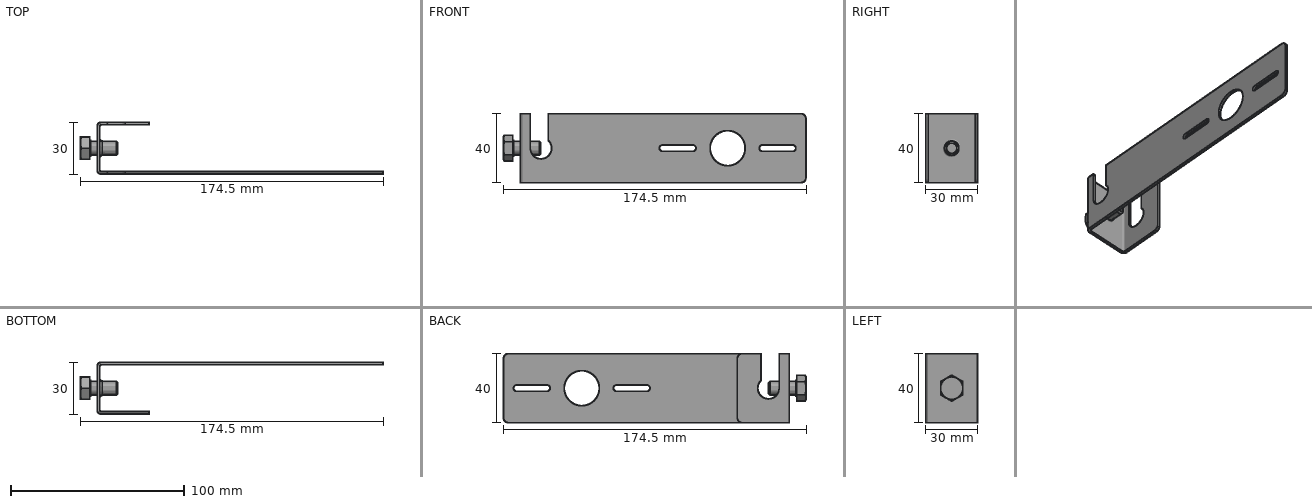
import cadquery as cq
import math

TOTAL_LENGTH = 174.5
BRACKET_WIDTH = 30.0
BRACKET_HEIGHT = 40.0
HEAD_STANDOFF = 9.6

SHEET = 1.5
BEND_OUTER_RADIUS = 2.5
BEND_INNER_RADIUS = BEND_OUTER_RADIUS - SHEET
LONG_LEG = TOTAL_LENGTH - HEAD_STANDOFF
SHORT_LEG = 30.0
CORNER_RADIUS = 3.0
HALF_WIDTH = BRACKET_WIDTH / 2

HOOK_START = 6.0
HOOK_NECK = 10.3
HOOK_RADIUS = 6.1

ROUND_HOLE_X = 119.7
ROUND_HOLE_DIAMETER = 20.0
SLOT_OFFSET = 28.8
SLOT_LENGTH = 21.0
SLOT_WIDTH = 3.5

SHANK_RADIUS = 4.0
SHANK_END = 12.0
TIP_CHAMFER = 1.0
HEAD_FLATS = 13.0
HEAD_HEIGHT = 5.4
HEAD_EDGE_SLOPE = math.radians(30)
WASHER_FACE_HEIGHT = 0.5
WASHER_FACE_RADIUS = 4.7

COLLAR_TIP_RADIUS = 4.2
COLLAR_HEIGHT = 1.5
COLLAR_FLARE_RADIUS = 1.4
COLLAR_BASE_RADIUS = COLLAR_TIP_RADIUS + COLLAR_FLARE_RADIUS


def x_cylinder(start, length, radius):
    """Solid cylinder on the X axis."""
    return cq.Workplane("YZ", origin=(start, 0, 0)).circle(radius).extrude(length)


def leg_prism(sketch, y_start, y_end):
    """Extrude a closed XZ wire from y_start to y_end; the XZ normal is -Y."""
    return sketch.extrude(y_end - y_start).translate((0, y_end, 0))


def bent_sheet():
    """U-shaped sheet with a long leg at -Y and a short leg at +Y."""
    inner = HALF_WIDTH - SHEET
    sheet = (
        cq.Workplane("XY", origin=(0, 0, -BRACKET_HEIGHT / 2))
        .moveTo(LONG_LEG, -HALF_WIDTH)
        .lineTo(0, -HALF_WIDTH)
        .lineTo(0, HALF_WIDTH)
        .lineTo(SHORT_LEG, HALF_WIDTH)
        .lineTo(SHORT_LEG, inner)
        .lineTo(SHEET, inner)
        .lineTo(SHEET, -inner)
        .lineTo(LONG_LEG, -inner)
        .close()
        .extrude(BRACKET_HEIGHT)
    )
    sheet = sheet.edges("|Z and <X").fillet(BEND_OUTER_RADIUS)
    inner_corners = cq.selectors.BoxSelector(
        (SHEET / 2, -inner - SHEET / 2, -BRACKET_HEIGHT),
        (SHEET * 1.5, inner + SHEET / 2, BRACKET_HEIGHT),
    )
    sheet = sheet.edges("|Z").edges(inner_corners).fillet(BEND_INNER_RADIUS)
    leg_ends = sheet.faces(cq.selectors.BoxSelector(
        (SHORT_LEG - SHEET, 0, -SHEET),
        (SHORT_LEG + SHEET, HALF_WIDTH, SHEET),
    )).edges("|Y")
    sheet = leg_ends.fillet(CORNER_RADIUS)
    return sheet.faces(">X").edges("|Y").fillet(CORNER_RADIUS)


def hook_slots():
    """Round seat with an upward neck, passing through both legs."""
    seat = cq.Workplane("XZ").center(HOOK_START + HOOK_RADIUS, 0).circle(HOOK_RADIUS)
    neck_height = BRACKET_HEIGHT / 2
    neck = cq.Workplane("XZ").center(HOOK_START + HOOK_NECK / 2, neck_height / 2).rect(HOOK_NECK, neck_height)
    return leg_prism(seat, -HALF_WIDTH, HALF_WIDTH).union(leg_prism(neck, -HALF_WIDTH, HALF_WIDTH))


def long_leg_openings():
    """Round hole with a horizontal slot on each side of it."""
    hole = cq.Workplane("XZ").center(ROUND_HOLE_X, 0).circle(ROUND_HOLE_DIAMETER / 2)
    slots = (
        cq.Workplane("XZ")
        .pushPoints([(ROUND_HOLE_X - SLOT_OFFSET, 0), (ROUND_HOLE_X + SLOT_OFFSET, 0)])
        .slot2D(SLOT_LENGTH, SLOT_WIDTH)
    )
    return leg_prism(hole, -HALF_WIDTH, 0).union(leg_prism(slots, -HALF_WIDTH, 0))


def collar():
    """Round collar with a concave flare where it grows out of the web."""
    flare_midpoint_gap = COLLAR_FLARE_RADIUS * (1 - math.sqrt(0.5))
    return (
        cq.Workplane("XY")
        .moveTo(SHEET, 0)
        .lineTo(SHEET, COLLAR_BASE_RADIUS)
        .threePointArc(
            (SHEET + flare_midpoint_gap, COLLAR_TIP_RADIUS + flare_midpoint_gap),
            (SHEET + COLLAR_FLARE_RADIUS, COLLAR_TIP_RADIUS),
        )
        .lineTo(SHEET + COLLAR_HEIGHT, COLLAR_TIP_RADIUS)
        .lineTo(SHEET + COLLAR_HEIGHT, 0)
        .close()
        .revolve(360, (0, 0, 0), (1, 0, 0))
    )


def make_bracket():
    bolt_hole = x_cylinder(0, SHEET + COLLAR_HEIGHT, SHANK_RADIUS)
    bracket = bent_sheet().cut(hook_slots()).cut(long_leg_openings())
    return bracket.union(collar()).cut(bolt_hole)


def bolt_head():
    """Hexagon with corners up and down, its outer corners turned to a cone."""
    corner_radius = HEAD_FLATS / math.sqrt(3)
    flat_radius = HEAD_FLATS / 2
    corner_drop = (corner_radius - flat_radius) * math.tan(HEAD_EDGE_SLOPE)
    hexagon = (
        cq.Workplane("YZ", origin=(-HEAD_STANDOFF, 0, 0))
        .transformed(rotate=(0, 0, 90))
        .polygon(6, 2 * corner_radius)
        .extrude(HEAD_HEIGHT)
    )
    turned_envelope = (
        cq.Workplane("XY", origin=(-HEAD_STANDOFF, 0, 0))
        .lineTo(0, flat_radius)
        .lineTo(corner_drop, corner_radius)
        .lineTo(HEAD_HEIGHT, corner_radius)
        .lineTo(HEAD_HEIGHT, 0)
        .close()
        .revolve(360, (0, 0, 0), (1, 0, 0))
    )
    return hexagon.intersect(turned_envelope)


def make_bolt():
    head_underside = HEAD_HEIGHT - HEAD_STANDOFF
    shank = x_cylinder(head_underside, SHANK_END - head_underside, SHANK_RADIUS)
    shank = shank.faces(">X").chamfer(TIP_CHAMFER)
    washer_face = x_cylinder(head_underside, WASHER_FACE_HEIGHT, WASHER_FACE_RADIUS)
    return bolt_head().union(washer_face).union(shank)


bracket = make_bracket()
bolt = make_bolt()
result = cq.Compound.makeCompound([bracket.solids().val(), bolt.solids().val()])